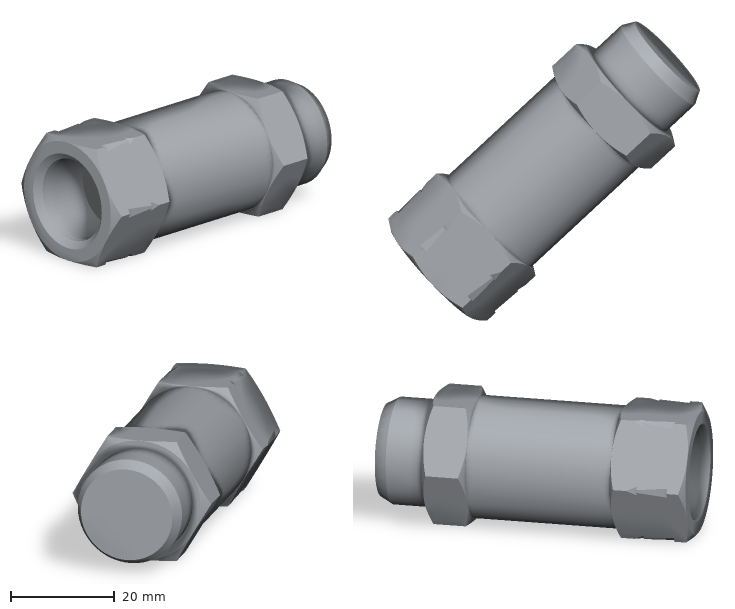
import cadquery as cq
import math

total_length = 62.0
across_flats = 24.0
across_corners = across_flats / math.cos(math.radians(30))

front_hex_length = 15.0
rear_hex_start = 43.45
rear_hex_end = 52.0
hex_face_diameter = 23.95
hex_chamfer_angle = 30.0

body_diameter = 23.8
spigot_diameter = 20.85
spigot_end_diameter = 18.2
spigot_taper_length = 2.4

bore_diameter = 16.35
bore_mouth_diameter = 19.0
bore_depth = 12.0

arrow_tip = 11.3
arrow_head_base = 9.35
arrow_tail = 3.35
arrow_width = 1.8
arrow_neck_width = 0.55


def revolve_profile(points):
    """Revolve (radius, y) points around the Y axis."""
    return cq.Workplane("XY").polyline(points).close().revolve(360, (0, 0, 0), (0, 1, 0))


def cylinder(diameter, start, end):
    radius = diameter / 2
    return revolve_profile([(0, start), (radius, start), (radius, end), (0, end)])


def chamfered_hex(start, end):
    """Hexagonal collar with corners on X and conical chamfers at both ends."""
    prism = (
        cq.Workplane("XZ", origin=(0, start, 0))
        .polygon(6, across_corners)
        .extrude(start - end)
    )
    face_radius = hex_face_diameter / 2
    corner_radius = across_corners / 2
    chamfer = (corner_radius - face_radius) * math.tan(math.radians(hex_chamfer_angle))
    envelope = revolve_profile([
        (0, start),
        (face_radius, start),
        (corner_radius, start + chamfer),
        (corner_radius, end - chamfer),
        (face_radius, end),
        (0, end),
    ])
    return prism.intersect(envelope)


def spigot():
    radius = spigot_diameter / 2
    return revolve_profile([
        (0, rear_hex_end),
        (radius, rear_hex_end),
        (radius, total_length - spigot_taper_length),
        (spigot_end_diameter / 2, total_length),
        (0, total_length),
    ])


def bore():
    """Flat-bottomed bore with a 45 degree countersunk mouth."""
    radius = bore_diameter / 2
    mouth_radius = bore_mouth_diameter / 2
    return revolve_profile([
        (0, 0),
        (mouth_radius, 0),
        (radius, mouth_radius - radius),
        (radius, bore_depth),
        (0, bore_depth),
    ])


def arrow_notch():
    """Sloping cuts across the +X corner, whose varying depth gives the arrow its width."""
    corner = across_corners / 2
    depth_per_width = math.tan(math.radians(30)) / 2
    deep = corner - arrow_width * depth_per_width
    neck = corner - arrow_neck_width * depth_per_width
    return (
        cq.Workplane("XY")
        .polyline([
            (corner, arrow_tip),
            (deep, arrow_head_base),
            (neck, arrow_head_base),
            (deep, arrow_tail),
            (corner, arrow_tail),
        ])
        .close()
        .extrude(arrow_width, both=True)
    )


result = (
    chamfered_hex(0, front_hex_length)
    .union(cylinder(body_diameter, front_hex_length, rear_hex_start))
    .union(chamfered_hex(rear_hex_start, rear_hex_end))
    .union(spigot())
    .cut(bore())
)
for corner_angle in range(0, 360, 60):
    result = result.cut(arrow_notch().rotate((0, 0, 0), (0, 1, 0), corner_angle))